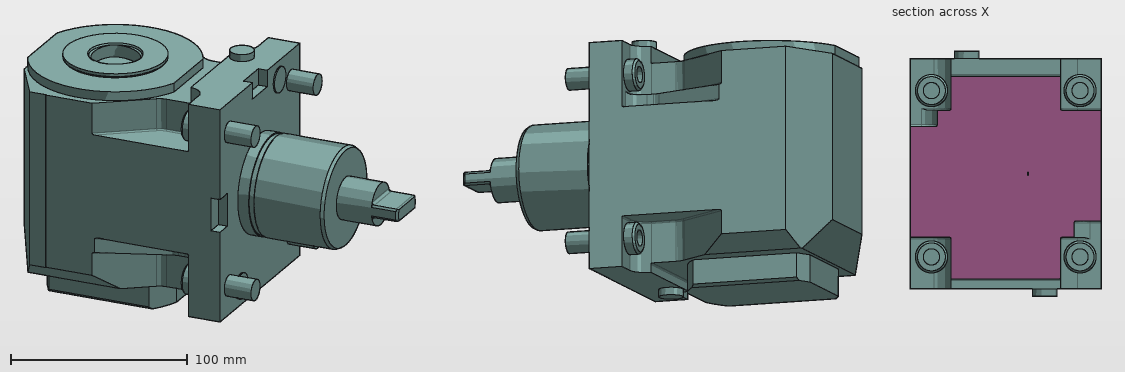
import cadquery as cq
import math


plate_half_width = 54.0
plate_half_height = 65.0
plate_thickness = 28.7
flange_thickness = 19.6
key_width = 20.0
key_length = 10.0
key_depth = 5.6

spindle_x = -89.9
head_back_x = -135.5
body_top_z = 55.2
body_bottom_z = -59.6
body_blend_radius = 0.8
bevel_angle = math.radians(60)
back_half_width = 24.3
back_bevel_depth = 11.1
side_bevel = 9.4
panel_start_x = -108.6
panel_height = 0.5

pocket_floor_z = 36.0
pocket_wall_y = 31.0
pocket_bend_x = -46.7
pocket_wall_angle = math.radians(35)
pocket_radius = 9.5
relief_floor_z = 26.8
relief_wall_y = 38.2
relief_bend_x = -34.7
relief_wall_angle = math.radians(20)
pocket_floor_radius = 0.9
cut_margin = 1.0

cap_radius = 49.6
cap_half_length = 45.5
cap_top_z = 60.6
nose_radius = 29.8
nose_neck_radius = 29.0
nose_neck_height = 0.9
nose_top_z = 63.4
bore_mouth_radius = 15.7
bore_seat_radius = 15.1
bore_mouth_depth = 1.0
bore_mean_radius = 14.1
bore_lobe_height = 0.9
bore_lobes = 3
bore_points = 36
bore_depth = 8.3

cover_bottom_z = -75.25
cover_half_width = 31.8
cover_front_reach = 45.1
cover_round_radius = 47.6
cover_bevel_length = 5.0
cover_edge_chamfer = 1.7

bolt_y = 42.0
bolt_z = 47.0
bolt_radius = 6.2
bolt_reach = 16.6
bolt_head_radius = 9.1
bolt_head_height = 6.4
bolt_head_chamfer = 1.2
socket_radius = 4.6
socket_depth = 5.0
pin_x = -21.3
pin_y = 22.0
pin_radius = 7.0
pin_seat = 10.0
pin_protrusion = 4.25
disc_y = 25.7
disc_z = 53.4
disc_radius = 7.7
disc_height = 0.8

shank_radius = 30.0
shank_end_x = 53.3
shank_chamfer_length = 2.0
shank_chamfer_drop = 1.0
groove_start_x = 6.8
groove_width = 3.2
groove_depth = 0.7
shaft_radius = 12.6
shaft_end_x = 75.1
tang_end_x = 91.5
tang_half_thickness = 3.85
tang_flat_half_width = 11.4
tang_edge_half_thickness = 2.6
tang_end_chamfer = 1.3
tang_tip_drop = 0.35
tang_root_radius = 1.5


def cylinder_x(radius, start, end, y=0.0, z=0.0):
    """Cylinder along X between two X positions."""
    return cq.Workplane("YZ", origin=(start, y, z)).circle(radius).extrude(end - start)


def cylinder_z(radius, bottom, top, x, y=0.0):
    """Cylinder along Z between two Z positions."""
    return cq.Workplane("XY", origin=(x, y, bottom)).circle(radius).extrude(top - bottom)


def half_turn(solid):
    """Copy of a solid turned 180 degrees about the shank axis."""
    return solid.rotate((0, 0, 0), (1, 0, 0), 180)


def make_housing():
    """Bevelled head body, carried forward to the plate."""
    width = plate_half_width
    low_width = width - panel_height
    slope = math.tan(bevel_angle)
    outline = [
        (head_back_x, -back_half_width),
        (head_back_x + (low_width - back_half_width) / slope, -low_width),
        (panel_start_x, -low_width),
        (panel_start_x, -width),
        (-flange_thickness, -width),
        (-flange_thickness, width),
        (head_back_x + (width - back_half_width) / slope, width),
        (head_back_x, back_half_width),
    ]
    body = (
        cq.Workplane("XY", origin=(0, 0, body_bottom_z))
        .polyline(outline)
        .close()
        .extrude(body_top_z - body_bottom_z)
    )
    back_wedge = (
        cq.Workplane("XZ")
        .polyline(
            [
                (head_back_x, body_bottom_z),
                (head_back_x + back_bevel_depth, body_bottom_z),
                (head_back_x, body_bottom_z + back_bevel_depth * slope),
            ]
        )
        .close()
        .extrude(width, both=True)
    )
    side_wedge = (
        cq.Workplane("YZ", origin=(head_back_x, 0, 0))
        .polyline(
            [
                (-width, body_bottom_z),
                (side_bevel - width, body_bottom_z),
                (-width, body_bottom_z + side_bevel),
            ]
        )
        .close()
        .extrude(-flange_thickness - head_back_x)
    )
    return body.cut(back_wedge).cut(side_wedge).cut(side_wedge.mirror("XZ"))


def make_plate():
    """Mounting plate block spanning its full thickness."""
    return cq.Workplane("XY").box(
        plate_thickness, 2 * plate_half_width, 2 * plate_half_height
    ).translate((-plate_thickness / 2, 0, 0))


def make_pocket(floor_z, wall_y, bend_x, wall_angle):
    """Cutter for one pocket at the +Y, +Z corner, open to the side and upwards."""
    open_y = plate_half_width + 2 * pocket_radius
    open_z = plate_half_height + cut_margin
    outline = [
        (bend_x - (open_y - wall_y) / math.tan(wall_angle), open_y),
        (bend_x, wall_y),
        (-flange_thickness, wall_y),
        (-flange_thickness, open_y),
    ]
    cutter = (
        cq.Workplane("XY", origin=(0, 0, floor_z))
        .polyline(outline)
        .close()
        .extrude(open_z - floor_z)
    )
    middle_z = (floor_z + open_z) / 2
    for corner_x in (bend_x, -flange_thickness):
        corner = cq.selectors.NearestToPointSelector((corner_x, wall_y, middle_z))
        cutter = cutter.edges("|Z").edges(corner).fillet(pocket_radius)
    return cutter.faces("<Z").edges("not >Y").fillet(pocket_floor_radius)


def cut_pockets(body):
    """Four deep bolt pockets and two wider reliefs at opposite corners."""
    deep = make_pocket(pocket_floor_z, pocket_wall_y, pocket_bend_x, pocket_wall_angle)
    relief = make_pocket(relief_floor_z, relief_wall_y, relief_bend_x, relief_wall_angle)
    mirrored = deep.mirror("XZ")
    for cutter in (deep, mirrored, relief):
        body = body.cut(cutter).cut(half_turn(cutter))
    return body


def cut_key_slots(body):
    """Key slots in the mounting face at the -Y side and at the top."""
    side_slot = cq.Workplane("XY").box(2 * key_depth, 2 * key_length, key_width)
    top_slot = cq.Workplane("XY").box(2 * key_depth, key_width, 2 * key_length)
    body = body.cut(side_slot.translate((0, -plate_half_width, 0)))
    return body.cut(top_slot.translate((0, 0, plate_half_height)))


def make_cap():
    """Round spindle cap with two flats, and the nose ring on it."""
    flats = cq.Workplane("XY").box(2 * cap_half_length, 2 * cap_radius, 2 * cap_top_z)
    cap = cylinder_z(cap_radius, body_top_z, cap_top_z, spindle_x)
    cap = cap.intersect(flats.translate((spindle_x, 0, 0)))
    neck_top_z = cap_top_z + nose_neck_height
    neck = cylinder_z(nose_neck_radius, cap_top_z, neck_top_z, spindle_x)
    return cap.union(neck).union(cylinder_z(nose_radius, neck_top_z, nose_top_z, spindle_x))


def bore_point(angle):
    """Point on the three-lobed polygon whose support height is mean + lobe * cos(lobes * angle)."""
    height = bore_mean_radius + bore_lobe_height * math.cos(bore_lobes * angle)
    slope = -bore_lobes * bore_lobe_height * math.sin(bore_lobes * angle)
    return (
        height * math.cos(angle) - slope * math.sin(angle),
        height * math.sin(angle) + slope * math.cos(angle),
    )


def make_bore():
    """Cutter for the lobed tool bore and its conical mouth."""
    points = [bore_point(2 * math.pi * i / bore_points) for i in range(bore_points)]
    lobed = (
        cq.Workplane("XY", origin=(spindle_x, 0, nose_top_z - bore_depth))
        .spline(points, periodic=True)
        .close()
        .extrude(bore_depth)
    )
    mouth = cq.Solid.makeCone(
        bore_seat_radius,
        bore_mouth_radius,
        bore_mouth_depth,
        cq.Vector(spindle_x, 0, nose_top_z - bore_mouth_depth),
        cq.Vector(0, 0, 1),
    )
    return lobed.union(cq.Workplane(mouth))


def make_cover():
    """Bottom cover: bevelled towards -X, rounded about the spindle towards +X."""
    length = cover_half_width + cover_front_reach
    height = body_bottom_z - cover_bottom_z
    centre_x = spindle_x + (cover_front_reach - cover_half_width) / 2
    cover = cq.Workplane("XY", origin=(centre_x, 0, cover_bottom_z)).rect(length, 2 * cover_half_width)
    cover = cover.extrude(height).faces("<Z").edges("|X").chamfer(cover_edge_chamfer)
    bevel_width = cover_bevel_length * math.tan(bevel_angle)
    back_x = spindle_x - cover_half_width
    bevel = (
        cq.Workplane("XY", origin=(0, 0, cover_bottom_z))
        .polyline(
            [
                (back_x, cover_half_width),
                (back_x + cover_bevel_length, cover_half_width),
                (back_x, cover_half_width - bevel_width),
            ]
        )
        .close()
        .extrude(height)
    )
    rounding = cylinder_z(cover_round_radius, cover_bottom_z, body_bottom_z, spindle_x)
    return cover.intersect(rounding).cut(bevel).cut(bevel.mirror("XZ"))


def make_bolt():
    """Bolt with a round socket in its head, on the X axis, its head seated on the flange."""
    head_x = -flange_thickness - bolt_head_height
    head = cylinder_x(bolt_head_radius, head_x, -flange_thickness)
    head = head.faces("<X").edges().chamfer(bolt_head_chamfer)
    socket = cylinder_x(socket_radius, head_x, head_x + socket_depth)
    return head.union(cylinder_x(bolt_radius, -flange_thickness, bolt_reach)).cut(socket)


def make_shank():
    """Round shank with a chamfered end and one seal groove."""
    shank = cylinder_x(shank_radius, 0, shank_end_x - shank_chamfer_length)
    taper = cq.Solid.makeCone(
        shank_radius,
        shank_radius - shank_chamfer_drop,
        shank_chamfer_length,
        cq.Vector(shank_end_x - shank_chamfer_length, 0, 0),
        cq.Vector(1, 0, 0),
    )
    shank = shank.union(cq.Workplane(taper))
    groove = cylinder_x(shank_radius, groove_start_x, groove_start_x + groove_width)
    groove_floor = cylinder_x(
        shank_radius - groove_depth, groove_start_x, groove_start_x + groove_width
    )
    return shank.cut(groove.cut(groove_floor))


def make_shaft():
    """Drive shaft ending in a flat tang with filleted roots and bevelled edges."""
    shaft = cylinder_x(shaft_radius, shank_end_x, tang_end_x)
    shaft = shaft.faces(">X").edges().chamfer(tang_end_chamfer)
    root_z = tang_half_thickness + tang_root_radius
    root_x = shaft_end_x + tang_root_radius
    flat_cutter = (
        cq.Workplane("XZ")
        .moveTo(root_x, tang_half_thickness)
        .lineTo(tang_end_x - tang_end_chamfer, tang_half_thickness)
        .lineTo(tang_end_x, tang_half_thickness - tang_tip_drop)
        .lineTo(tang_end_x, shaft_radius)
        .lineTo(shaft_end_x, shaft_radius)
        .lineTo(shaft_end_x, root_z)
        .radiusArc((root_x, tang_half_thickness), -tang_root_radius)
        .close()
        .extrude(shaft_radius, both=True)
    )
    edge_half_width = math.sqrt(shaft_radius**2 - tang_edge_half_thickness**2)
    bevel_cutter = (
        cq.Workplane("YZ", origin=(shaft_end_x, 0, 0))
        .polyline(
            [
                (tang_flat_half_width, tang_half_thickness),
                (edge_half_width, tang_edge_half_thickness),
                (shaft_radius, tang_edge_half_thickness),
                (shaft_radius, root_z),
                (tang_flat_half_width, root_z),
            ]
        )
        .close()
        .extrude(tang_end_x - shaft_end_x)
    )
    for cutter in (flat_cutter, bevel_cutter, bevel_cutter.mirror("XZ")):
        shaft = shaft.cut(cutter).cut(half_turn(cutter))
    return shaft


body = make_housing().union(make_plate())
blend_edges = cq.selectors.BoxSelector(
    (-plate_thickness - cut_margin, -plate_half_width, body_bottom_z - cut_margin),
    (-plate_thickness + cut_margin, plate_half_width, body_top_z + cut_margin),
)
body = body.edges("|Y").edges(blend_edges).fillet(body_blend_radius)
body = cut_key_slots(cut_pockets(body))
body = body.union(make_cap()).cut(make_bore()).union(make_cover())
body = body.union(make_shank()).union(make_shaft())

bolt = make_bolt()
for y in (-bolt_y, bolt_y):
    for z in (-bolt_z, bolt_z):
        body = body.union(bolt.translate((0, y, z)))

pin_bottom_z = plate_half_height - pin_seat
pin_top_z = plate_half_height + pin_protrusion
pin = cylinder_z(pin_radius, pin_bottom_z, pin_top_z, pin_x, pin_y)
body = body.union(pin).union(half_turn(pin))

seal_disc = cylinder_x(disc_radius, 0, disc_height, disc_y, disc_z)
body = body.union(seal_disc).union(half_turn(seal_disc))

result = body